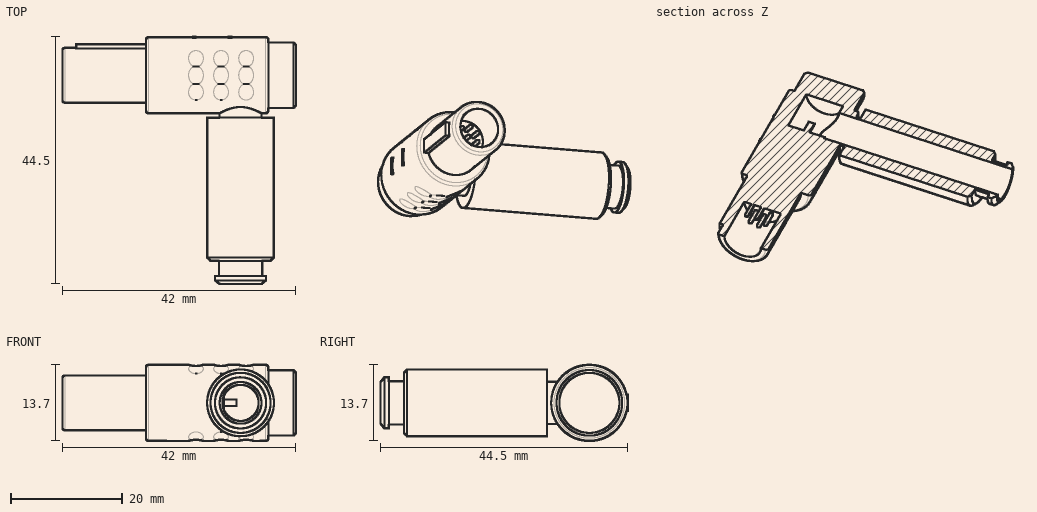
import cadquery as cq
import math


plug_length = 15.0
plug_radius = 4.95
body_end_x = 37.0
body_radius = 6.85
cap_end_x = 42.0
cap_radius = 5.9
cap_chamfer = 0.5
edge_round = 0.5

bore_radius = 3.55
cavity_end_x = body_end_x

key_start_x = 2.5
key_width = 2.5
key_top_y = 5.6

insert_front_x = 9.0
insert_back_x = 29.0
pin_tip_x = 6.0
pin_radius = 0.35
pin_circle_radius = 1.93
ring_pin_count = 7
tail_radius = 0.6
tail_end_x = 31.25

arm_x = 32.0
sleeve_top_y = -7.6
sleeve_bottom_y = -33.3
sleeve_radius = 6.0
sleeve_chamfer = 0.6
arm_neck_radius = 3.8
end_neck_radius = 3.9
lip_top_y = -36.0
lip_end_y = -37.5
lip_radius = 4.6
lip_chamfer_length = 0.7
lip_end_radius = 3.75
arm_bore_radius = 3.25

dimple_columns_x = (24.0, 28.5, 33.0)
dimple_row_pitch = 26.4
dimple_row_angles = (-dimple_row_pitch, 0.0, dimple_row_pitch)
dimple_depth = 0.2
dimple_cutter_radius = 4.5
dimple_cutter_length = 6.0

bar_center_x = 26.9
bar_spacing = 6.4
bar_thickness = 0.5
bar_height = 2.95
bar_rise = 0.1


def rod_x(start_x, end_x, radius, y=0.0, z=0.0):
    """Cylinder parallel to X."""
    return cq.Workplane("YZ", origin=(start_x, y, z)).circle(radius).extrude(end_x - start_x)


def rod_arm(start_y, end_y, radius):
    """Cylinder on the cable arm axis, running towards -Y."""
    return cq.Workplane("XZ", origin=(arm_x, start_y, 0)).circle(radius).extrude(start_y - end_y)


def make_plug():
    tube = rod_x(0, body_end_x, plug_radius).faces("<X").edges().fillet(edge_round)
    body = rod_x(plug_length, body_end_x, body_radius).faces("<X or >X").edges().fillet(edge_round)
    cap = rod_x(plug_length, cap_end_x, cap_radius).faces(">X").edges().chamfer(cap_chamfer)
    key_length = plug_length + edge_round - key_start_x
    key_base_y = (bore_radius + plug_radius) / 2
    key = cq.Workplane("XY").box(
        key_length, key_top_y - key_base_y, key_width, centered=(False, False, True)
    ).translate((key_start_x, key_base_y, 0))
    return tube.union(body).union(cap).union(key)


def cut_dimples(part):
    cutter_height = body_radius - dimple_depth + dimple_cutter_radius
    for side_angle in (0.0, 180.0):
        for row_angle in dimple_row_angles:
            for x in dimple_columns_x:
                cutter = (
                    cq.Workplane("XZ", origin=(x, dimple_cutter_length / 2, cutter_height))
                    .circle(dimple_cutter_radius)
                    .extrude(dimple_cutter_length)
                    .rotate((0, 0, 0), (1, 0, 0), side_angle + row_angle)
                )
                part = part.cut(cutter)
    return part


def make_bars():
    top_y = body_radius + bar_rise
    base_y = cap_radius
    return (
        cq.Workplane("XZ", origin=(bar_center_x, top_y, 0))
        .rarray(bar_spacing, 1, 2, 1)
        .rect(bar_thickness, bar_height)
        .extrude(top_y - base_y)
    )


def make_arm():
    neck = rod_arm(0, sleeve_top_y, arm_neck_radius)
    sleeve = rod_arm(sleeve_top_y, sleeve_bottom_y, sleeve_radius)
    sleeve = sleeve.faces("<Y").edges().chamfer(sleeve_chamfer)
    end_neck = rod_arm(sleeve_bottom_y, lip_top_y, end_neck_radius)
    lip = rod_arm(lip_top_y, lip_end_y, lip_radius)
    lip = lip.faces("<Y").edges().chamfer(lip_chamfer_length, lip_radius - lip_end_radius)
    return neck.union(sleeve).union(end_neck).union(lip)


def make_pin(y, z):
    """Contact pin with a hemispherical tip."""
    shank = rod_x(pin_tip_x + pin_radius, insert_back_x, pin_radius, y, z)
    tip = cq.Workplane("XY").sphere(pin_radius).translate((pin_tip_x + pin_radius, y, z))
    return shank.union(tip)


def make_contacts():
    contacts = rod_x(insert_front_x, insert_back_x, bore_radius)
    contacts = contacts.union(make_pin(0, 0))
    for index in range(ring_pin_count):
        angle = 2 * math.pi * index / ring_pin_count
        pin = make_pin(pin_circle_radius * math.cos(angle), pin_circle_radius * math.sin(angle))
        contacts = contacts.union(pin)
    return contacts.union(rod_x(insert_back_x, tail_end_x, tail_radius))


housing = cut_dimples(make_plug()).union(make_bars()).union(make_arm())
housing = housing.cut(rod_x(0, cavity_end_x, bore_radius))
housing = housing.cut(rod_arm(0, lip_end_y, arm_bore_radius))

result = housing.union(make_contacts())